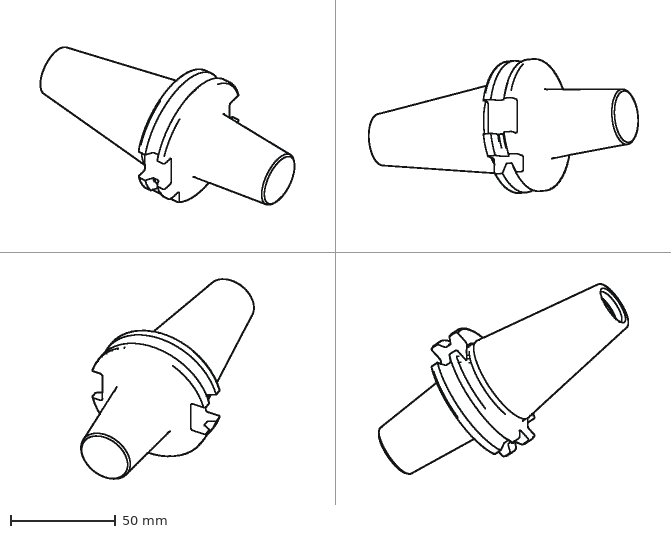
import cadquery as cq
import math

total_length = 133.2
gauge_plane = 67.5
neck_start = 68.6
flange_start = 71.4
flange_end = 87.1

gauge_radius = 22.3
taper_ratio = 7 / 24
taper_edge = 0.8
neck_radius = 22.0
neck_fillet = 0.9

flange_radius = 31.78
flange_edge = 0.9
groove_center = 79.4
groove_floor_radius = 28.1
groove_floor_width = 2.9
groove_corner_radius = 0.5
groove_wall_angle = 30.0

nose_base_radius = 16.7
nose_base_x = 91.5
nose_tip_radius = 13.3
nose_tip_edge = 0.9

slot_half_width = 8.3
slot_floor_plus_y = 22.8
slot_floor_minus_y = 24.9
notch_y = -18.5
notch_z = -18.3
cut_corner_radius = 1.2

bore_mouth_radius = 9.7
bore_pilot_radius = 8.5
thread_radius = 8.0
bore_radius = 6.9
mouth_depth = 1.3
pilot_depth = 4.7
thread_start = 4.9
thread_end = 7.9
bore_start = 9.0
bore_depth = 32.0
drill_tip_angle = 118.0


def make_body():
    """Revolve the outer profile about X and round the corners of the groove floor."""
    small_radius = gauge_radius - gauge_plane * taper_ratio / 2
    groove_rise = flange_radius - groove_floor_radius
    floor_half = groove_floor_width / 2
    rim_half = floor_half + groove_rise * math.tan(math.radians(groove_wall_angle))
    nose_fillet = nose_base_x - flange_end
    quarter_rise = 1 - math.sqrt(0.5)
    edge_mid = taper_edge * quarter_rise
    edge_radius = small_radius + taper_edge * taper_ratio / 2
    profile = (
        cq.Workplane("XY")
        .moveTo(0, 0)
        .lineTo(0, edge_radius - taper_edge)
        .threePointArc((edge_mid, edge_radius - edge_mid), (taper_edge, edge_radius))
        .lineTo(gauge_plane, gauge_radius)
        .lineTo(neck_start, neck_radius)
        .lineTo(flange_start - neck_fillet, neck_radius)
        .threePointArc(
            (flange_start - neck_fillet * quarter_rise, neck_radius + neck_fillet * quarter_rise),
            (flange_start, neck_radius + neck_fillet),
        )
        .lineTo(flange_start, flange_radius - flange_edge)
        .threePointArc(
            (flange_start + flange_edge * quarter_rise, flange_radius - flange_edge * quarter_rise),
            (flange_start + flange_edge, flange_radius),
        )
        .lineTo(groove_center - rim_half, flange_radius)
        .lineTo(groove_center - floor_half, groove_floor_radius)
        .lineTo(groove_center + floor_half, groove_floor_radius)
        .lineTo(groove_center + rim_half, flange_radius)
        .lineTo(flange_end - flange_edge, flange_radius)
        .threePointArc(
            (flange_end - flange_edge * quarter_rise, flange_radius - flange_edge * quarter_rise),
            (flange_end, flange_radius - flange_edge),
        )
        .lineTo(flange_end, nose_base_radius + nose_fillet)
        .threePointArc(
            (flange_end + nose_fillet * quarter_rise, nose_base_radius + nose_fillet * quarter_rise),
            (nose_base_x, nose_base_radius),
        )
        .lineTo(total_length - nose_tip_edge, nose_tip_radius)
        .lineTo(total_length, nose_tip_radius - nose_tip_edge)
        .lineTo(total_length, 0)
        .close()
    )
    body = profile.revolve(360, (0, 0, 0), (1, 0, 0))
    groove_window = cq.selectors.BoxSelector(
        (groove_center - rim_half, -groove_floor_radius, -groove_floor_radius),
        (groove_center + rim_half, groove_floor_radius, groove_floor_radius),
    )
    floor_corners = body.edges(groove_window).edges(cq.selectors.RadiusNthSelector(0))
    return floor_corners.fillet(groove_corner_radius)


def make_bore():
    """Revolve the stepped bore with its conical drill tip."""
    tip_length = bore_radius / math.tan(math.radians(drill_tip_angle / 2))
    return (
        cq.Workplane("XY")
        .moveTo(0, 0)
        .lineTo(0, bore_mouth_radius)
        .lineTo(mouth_depth, bore_pilot_radius)
        .lineTo(pilot_depth, bore_pilot_radius)
        .lineTo(thread_start, thread_radius)
        .lineTo(thread_end, thread_radius)
        .lineTo(bore_start, bore_radius)
        .lineTo(bore_depth, bore_radius)
        .lineTo(bore_depth + tip_length, 0)
        .close()
        .revolve(360, (0, 0, 0), (1, 0, 0))
    )


def make_rim_cut(y_inner, side, z_low, z_high):
    """Block across the flange, from y_inner outward, with rounded inner corners."""
    reach = 2 * flange_radius
    return (
        cq.Workplane("XY")
        .box(flange_end - flange_start, reach, z_high - z_low, centered=(False, True, False))
        .translate((flange_start, y_inner + side * reach / 2, z_low))
        .faces("<Y" if side > 0 else ">Y")
        .edges("|X")
        .fillet(cut_corner_radius)
    )


result = (
    make_body()
    .cut(make_bore())
    .cut(make_rim_cut(slot_floor_plus_y, 1, -slot_half_width, slot_half_width))
    .cut(make_rim_cut(-slot_floor_minus_y, -1, -slot_half_width, slot_half_width))
    .cut(make_rim_cut(notch_y, -1, -2 * flange_radius, notch_z))
)